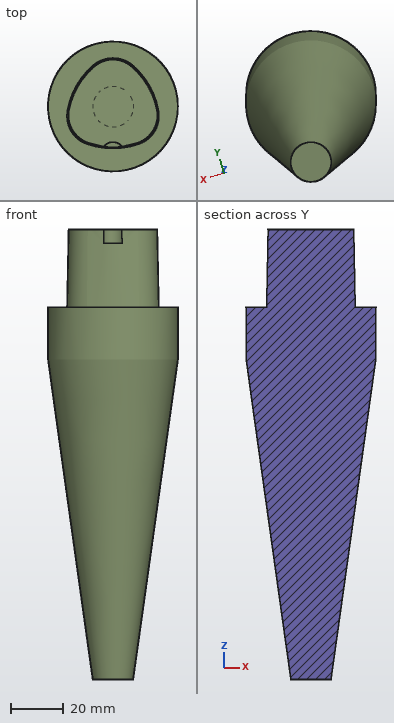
import cadquery as cq
import math

total_length = 173.0
shank_length = 30.0
collar_length = 20.0
nose_length = total_length - shank_length - collar_length

collar_radius = 50.0 / 2
tip_radius = 7.8

lobe_reach = 18.0
flank_reach = 15.5
flank_radius = 29.0
base_growth = 0.035

notch_radius = 4.3
notch_inset = 1.9
notch_height = 5.4

collar_base = nose_length
shank_base = collar_base + collar_length


def polar(radius, degrees):
    angle = math.radians(degrees)
    return radius * math.cos(angle), radius * math.sin(angle)


def lobed_section(z, size_factor):
    """Closed wire of three lobe arcs tangent to three flank arcs."""
    lobe_crest = lobe_reach * size_factor
    flank_middle = flank_reach * size_factor
    big_radius = flank_radius * size_factor

    flank_center = big_radius - flank_middle
    radius_gap = big_radius - lobe_crest
    lobe_center = (flank_center**2 - radius_gap**2) / (2 * radius_gap - flank_center)

    lobe_x, lobe_y = polar(lobe_center, -30)
    to_lobe = math.atan2(lobe_y - flank_center, lobe_x)
    join_x = big_radius * math.cos(to_lobe)
    join_y = flank_center + big_radius * math.sin(to_lobe)
    join_radius = math.hypot(join_x, join_y)
    join_angle = math.degrees(math.atan2(join_y, join_x))
    lobe_end = -60 - join_angle

    outline = cq.Workplane("XY", origin=(0, 0, z)).moveTo(-join_x, join_y)
    for turn in (0, 120, 240):
        outline = outline.threePointArc(
            polar(flank_middle, turn - 90), polar(join_radius, turn + join_angle)
        )
        outline = outline.threePointArc(
            polar(lobe_crest, turn - 30), polar(join_radius, turn + lobe_end)
        )
    return outline.close().val()


def tapered_nose_and_collar():
    profile = (
        cq.Workplane("XZ")
        .moveTo(0, 0)
        .lineTo(tip_radius, 0)
        .lineTo(collar_radius, collar_base)
        .lineTo(collar_radius, shank_base)
        .lineTo(0, shank_base)
        .close()
    )
    return profile.revolve(360, (0, 0), (0, 1))


def lobed_shank():
    base = lobed_section(shank_base, 1 + base_growth)
    top = lobed_section(total_length, 1)
    return cq.Workplane(cq.Solid.makeLoft([base, top], True))


def keyway():
    center_y = notch_inset - flank_reach - notch_radius
    return (
        cq.Workplane("XY", origin=(0, center_y, total_length - notch_height))
        .circle(notch_radius)
        .extrude(notch_height)
    )


result = tapered_nose_and_collar().union(lobed_shank()).cut(keyway())